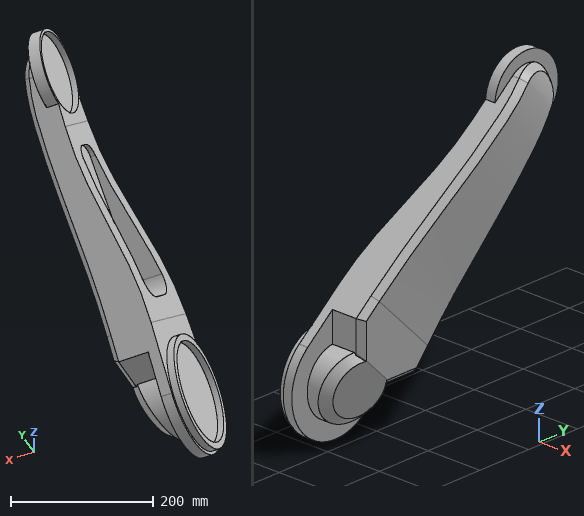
import cadquery as cq
import math


BIG_R = 90.0
SMALL_R = 45.0
DISC_R = 65.0
ARM_LENGTH = (501.0 - BIG_R - DISC_R) * math.sqrt(2)

RING_R = 85.0
RING_HEIGHT = 11.0
BIG_RECESS_R = 75.0
PLATE_TOP = 27.5
BOSS_R = 58.5
SHOULDER_OFFSET = 7.0

DISC_BOTTOM = 51.5
DISC_TOP = 70.0
SMALL_RECESS_R = 60.0
RECESS_DEPTH = 9.5

BEND_START = 112.5
BEND_END = 413.0
BACK_SLOPE_START = 35.0
BACK_LOW = 83.5
BACK_TOP = 99.0
BACK_TOP_POS = 431.0
BOSS_END_HEIGHT = 58.5
TIP_HEIGHT = 79.0
ARM_CHAMFER = 10.0
BOSS_CHAMFER = 13.5

POCKET_START = 146.0
POCKET_END = 381.5
POCKET_MARGIN = 29.5
POCKET_FLOOR = 56.5
POCKET_WIDE_FILLET = 27.0
POCKET_NARROW_FILLET = 20.0

SIDE_SINE = (BIG_R - SMALL_R) / ARM_LENGTH
SIDE_COSINE = math.sqrt(1 - SIDE_SINE ** 2)


def cylinder(position, radius, bottom, top):
    return cq.Workplane("XY", origin=(position, 0, bottom)).circle(radius).extrude(top - bottom)


def half_width(position, margin=0.0):
    """Half width of the tapered arm, less a margin measured square to its side."""
    return (BIG_R - margin - SIDE_SINE * position) / SIDE_COSINE


def arm_outline(height):
    """Prism bounded by the two end arcs and their common tangents."""
    big_x, big_y = BIG_R * SIDE_SINE, BIG_R * SIDE_COSINE
    small_x, small_y = ARM_LENGTH + SMALL_R * SIDE_SINE, SMALL_R * SIDE_COSINE
    return (
        cq.Workplane("XY")
        .moveTo(big_x, big_y)
        .lineTo(small_x, small_y)
        .threePointArc((ARM_LENGTH + SMALL_R, 0), (small_x, -small_y))
        .lineTo(big_x, -big_y)
        .threePointArc((-BIG_R, 0), (big_x, big_y))
        .close()
        .extrude(height)
    )


def side_profile():
    """Bent side profile, extruded across the full width of the arm."""
    tip = ARM_LENGTH + SMALL_R
    return (
        cq.Workplane("XZ", origin=(0, BIG_R, 0))
        .moveTo(-BOSS_R, RING_HEIGHT)
        .lineTo(BEND_START, RING_HEIGHT)
        .spline([(BEND_END, DISC_BOTTOM)], tangents=[(1, 0), (1, 0)], includeCurrent=True)
        .lineTo(tip, DISC_BOTTOM)
        .lineTo(tip, TIP_HEIGHT)
        .spline(
            [(BACK_TOP_POS, BACK_TOP), (BEND_START, BACK_LOW)],
            tangents=[(-1, 0.5), (-1, 0), (-1, 0)],
            includeCurrent=True,
        )
        .lineTo(BACK_SLOPE_START, BACK_LOW)
        .lineTo(-BOSS_R, BOSS_END_HEIGHT)
        .close()
        .extrude(2 * BIG_R)
    )


def chamfer_back(solid, size):
    """Chamfer the outer border of all the faces that look towards the back."""
    back = [face for face in solid.faces().vals() if face.normalAt(face.Center()).z > 0.5]
    edges = [edge for face in back for edge in face.Edges()]
    border = [edge for edge in edges if sum(edge.isSame(other) for other in edges) == 1]
    return solid.newObject(border).chamfer(size)


def arm_body():
    """Thick arm that stops at two square shoulders over the large end."""
    wedge_tip = -SHOULDER_OFFSET * math.sqrt(2)
    reach = 2 * ARM_LENGTH
    wedge = (
        cq.Workplane("XY")
        .polyline([(wedge_tip, 0), (wedge_tip + reach, -reach), (wedge_tip + reach, reach)])
        .close()
        .extrude(BACK_TOP)
    )
    return chamfer_back(side_profile().intersect(arm_outline(BACK_TOP)).intersect(wedge), ARM_CHAMFER)


def boss():
    """Round boss with a sloping top, centred on the large end."""
    return chamfer_back(side_profile().intersect(cylinder(0, BOSS_R, RING_HEIGHT, BACK_TOP)), BOSS_CHAMFER)


def large_end():
    length = BIG_R + BEND_START
    slab = cq.Workplane("XY", origin=(BEND_START - length / 2, 0, RING_HEIGHT)).box(
        length, 2 * BIG_R, PLATE_TOP - RING_HEIGHT, centered=(True, True, False)
    )
    plate = arm_outline(PLATE_TOP).intersect(slab)
    return plate.union(cylinder(0, RING_R, 0, PLATE_TOP))


def pocket():
    wide = half_width(POCKET_START, POCKET_MARGIN)
    narrow = half_width(POCKET_END, POCKET_MARGIN)
    corners = [(POCKET_START, -wide), (POCKET_END, -narrow), (POCKET_END, narrow), (POCKET_START, wide)]
    return (
        cq.Workplane("XY")
        .polyline(corners)
        .close()
        .extrude(POCKET_FLOOR)
        .edges("|Z and <X").fillet(POCKET_WIDE_FILLET)
        .edges("|Z and >X").fillet(POCKET_NARROW_FILLET)
    )


arm = (
    arm_body()
    .union(boss())
    .union(large_end())
    .union(cylinder(ARM_LENGTH, DISC_R, DISC_BOTTOM, DISC_TOP))
    .cut(pocket())
    .cut(cylinder(0, BIG_RECESS_R, 0, RECESS_DEPTH))
    .cut(cylinder(ARM_LENGTH, SMALL_RECESS_R, DISC_BOTTOM, DISC_BOTTOM + RECESS_DEPTH))
)

diagonal = cq.Plane(origin=(0, 0, 0), xDir=(0, 1, 1), normal=(1, 0, 0))
result = cq.Workplane(arm.val().moved(cq.Location(diagonal)))